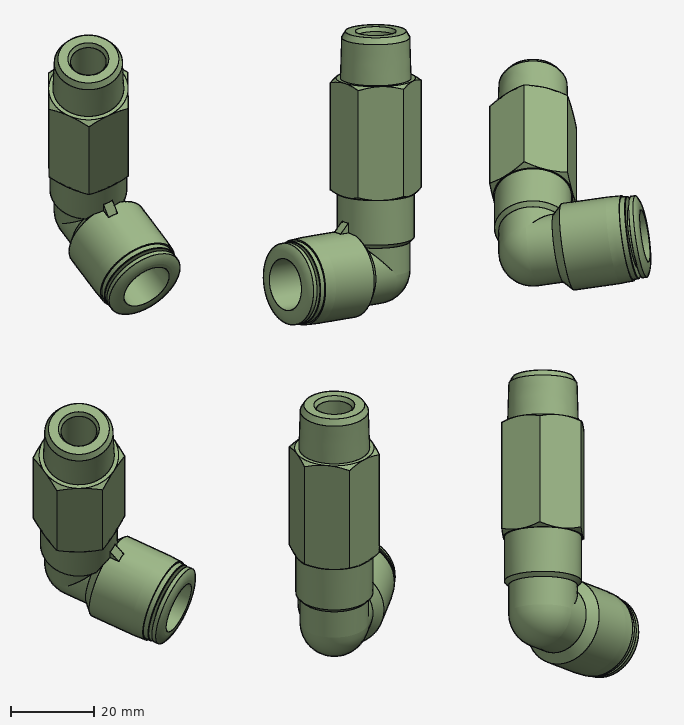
import math

import cadquery as cq


stem_top = 58.5
hex_top = 47.0
thread_base_dia = 17.0
thread_tip_dia = 16.4
thread_face_dia = 14.6
thread_lead_in = 1.5

hex_bottom = 19.0
hex_sides = 6
hex_corner_dia = 22.0
hex_chamfer_angle = math.radians(30)
hex_half_angle = math.pi / hex_sides
hex_flat_width = hex_corner_dia * math.cos(hex_half_angle)

collar_dia = 18.5
elbow_dia = 16.5
collar_bottom = 8.0
collar_bevel = (collar_dia - elbow_dia) / 2

socket_dia = 21.0
socket_start = 8.55
socket_cone_length = (socket_dia - elbow_dia) / 2
socket_straight_end = 20.0
socket_taper_end = 23.1
socket_taper_end_dia = 20.7
end_ring_dia = 20.0
end_ring_end = 24.5
end_ring_bevel_length = 0.15
end_ring_face_dia = 19.8

collet_neck_dia = 14.6
collet_neck_end = 24.95
flange_root_dia = 15.2
flange_start = 25.35
flange_edge = 26.4
flange_dia = 19.8
overall_length_x = 36.83
collet_end = overall_length_x - hex_flat_width / 2
collet_face_dia = 14.6
crown_mid_x = 26.95
crown_mid_dia = 17.8

web_width = 2.5
web_outer_x = 11.55

stem_bore_dia = 8.57
bore_mouth_dia = 9.8
bore_mouth_half_angle = math.radians(30)
bore_mouth_depth = (bore_mouth_dia - stem_bore_dia) / 2 / math.tan(bore_mouth_half_angle)
elbow_bore_dia = 8.4
tube_bore_dia = 12.6
tube_bore_start = socket_start


def cylinder_z(diameter, bottom, top):
    return cq.Workplane("XY").workplane(offset=bottom).circle(diameter / 2).extrude(top - bottom)


def cylinder_x(diameter, start, end):
    return cq.Workplane("YZ").workplane(offset=start).circle(diameter / 2).extrude(end - start)


def make_thread():
    """Tapered thread envelope with a bevelled tip."""
    lead_in_start = stem_top - thread_lead_in
    return (
        cq.Workplane("XZ")
        .moveTo(0, hex_top)
        .lineTo(thread_base_dia / 2, hex_top)
        .lineTo(thread_tip_dia / 2, lead_in_start)
        .lineTo(thread_face_dia / 2, stem_top)
        .lineTo(0, stem_top)
        .close()
        .revolve(360, (0, 0, 0), (0, 1, 0))
    )


def make_hexagon():
    """Hexagon with corners on +Y and -Y, both ends turned to a conical chamfer."""
    corner_radius = hex_corner_dia / 2
    flat_radius = hex_flat_width / 2
    corner_drop = (corner_radius - flat_radius) * math.tan(hex_chamfer_angle)
    prism = (
        cq.Workplane("XY")
        .workplane(offset=hex_bottom)
        .transformed(rotate=(0, 0, 90))
        .polygon(hex_sides, hex_corner_dia)
        .extrude(hex_top - hex_bottom)
    )
    turned_envelope = (
        cq.Workplane("XZ")
        .moveTo(0, hex_bottom)
        .lineTo(flat_radius, hex_bottom)
        .lineTo(corner_radius, hex_bottom + corner_drop)
        .lineTo(corner_radius, hex_top - corner_drop)
        .lineTo(flat_radius, hex_top)
        .lineTo(0, hex_top)
        .close()
        .revolve(360, (0, 0, 0), (0, 1, 0))
    )
    return prism.intersect(turned_envelope)


def make_collar():
    """Round collar under the hexagon, bevelled down to the elbow diameter."""
    return (
        cq.Workplane("XZ")
        .moveTo(0, collar_bottom - collar_bevel)
        .lineTo(elbow_dia / 2, collar_bottom - collar_bevel)
        .lineTo(collar_dia / 2, collar_bottom)
        .lineTo(collar_dia / 2, hex_bottom)
        .lineTo(0, hex_bottom)
        .close()
        .revolve(360, (0, 0, 0), (0, 1, 0))
    )


def make_elbow(diameter, stem_end, socket_end):
    """Two round legs meeting in a ball at the origin."""
    ball = cq.Workplane("XY").sphere(diameter / 2)
    return ball.union(cylinder_z(diameter, 0, stem_end)).union(cylinder_x(diameter, 0, socket_end))


def make_socket():
    """Socket body and release collet as one turned profile about X."""
    return (
        cq.Workplane("XZ")
        .moveTo(socket_start - socket_cone_length, 0)
        .lineTo(socket_start - socket_cone_length, elbow_dia / 2)
        .lineTo(socket_start, socket_dia / 2)
        .lineTo(socket_straight_end, socket_dia / 2)
        .lineTo(socket_taper_end, socket_taper_end_dia / 2)
        .lineTo(socket_taper_end, end_ring_dia / 2)
        .lineTo(end_ring_end - end_ring_bevel_length, end_ring_dia / 2)
        .lineTo(end_ring_end, end_ring_face_dia / 2)
        .lineTo(end_ring_end, collet_neck_dia / 2)
        .lineTo(collet_neck_end, collet_neck_dia / 2)
        .lineTo(flange_start, flange_root_dia / 2)
        .lineTo(flange_start, flange_dia / 2)
        .lineTo(flange_edge, flange_dia / 2)
        .threePointArc((crown_mid_x, crown_mid_dia / 2), (collet_end, collet_face_dia / 2))
        .lineTo(collet_end, 0)
        .close()
        .revolve(360, (0, 0, 0), (1, 0, 0))
    )


def make_web():
    """Small 45 degree web in the corner between the collar and the socket."""
    inner_x = elbow_dia / 2
    base_z = elbow_dia / 2
    slope_sum = web_outer_x + socket_dia / 2
    return (
        cq.Workplane("XZ")
        .moveTo(inner_x, base_z)
        .lineTo(slope_sum - base_z, base_z)
        .lineTo(inner_x, slope_sum - inner_x)
        .close()
        .extrude(web_width / 2, both=True)
    )


def make_passages():
    """Stem bore, rounded elbow passage and tube bore."""
    mouth = (
        cq.Workplane("XY")
        .workplane(offset=stem_top - bore_mouth_depth)
        .circle(stem_bore_dia / 2)
        .workplane(offset=bore_mouth_depth)
        .circle(bore_mouth_dia / 2)
        .loft()
    )
    return (
        make_elbow(elbow_bore_dia, hex_bottom, tube_bore_start)
        .union(cylinder_z(stem_bore_dia, hex_bottom, stem_top))
        .union(cylinder_x(tube_bore_dia, tube_bore_start, collet_end))
        .union(mouth)
    )


body = make_thread().union(make_hexagon()).union(make_collar())
body = body.union(make_elbow(elbow_dia, collar_bottom, socket_start - socket_cone_length))
body = body.union(make_socket()).union(make_web())
result = body.cut(make_passages())